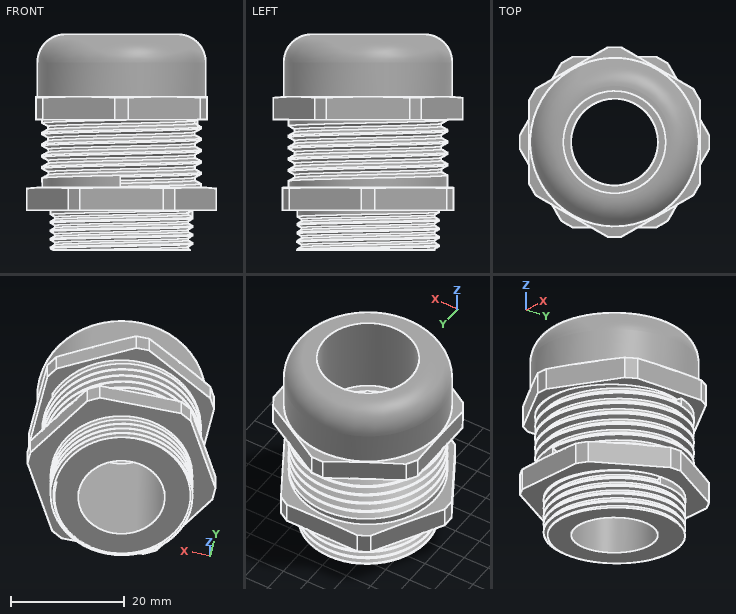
import cadquery as cq
import math

height = 38.0
hex_thickness = 4.03
lower_hex_bottom = 7.0
upper_hex_bottom = 22.95

cap_diameter = 29.7
cap_flat_diameter = 19.75
dome_radius = (cap_diameter - cap_flat_diameter) / 2
hex_flats = 30.1
hex_trimmed_corners = 33.4
hex_crown_diameter = 29.65
hex_crown_drop = 0.23

through_diameter = 15.25
cap_bore_diameter = 18.0
cap_bore_depth = height - upper_hex_bottom

body_diameter = 28.0
body_groove_rise = 10.6
body_groove_depth = 1.05
body_groove_width = 1.7
body_groove_start = 12.0
body_groove_turns = 5.3
body_pitch = body_groove_rise / body_groove_turns
body_start_angle = -91.0

entry_diameter = 25.0
entry_groove_rise = 7.5
entry_groove_depth = 0.72
entry_groove_width = 1.3
entry_groove_end = 6.4
entry_groove_turns = 5
entry_pitch = entry_groove_rise / entry_groove_turns
entry_start_angle = 0.0

root_ratio = 0.3
mouth_overrun = 0.2


def cylinder(diameter, bottom, length):
    return cq.Workplane("XY").workplane(offset=bottom).circle(diameter / 2).extrude(length)


def hexagon(bottom, corner_angle):
    """Hexagon with its corners cut flat and a shallow conical crown."""
    across_corners = hex_flats / math.cos(math.pi / 6)
    base = cq.Workplane("XY")
    blank = base.polygon(6, across_corners).extrude(hex_thickness)
    trim = (
        base.polygon(6, hex_trimmed_corners / math.cos(math.pi / 6))
        .extrude(hex_thickness)
        .rotate((0, 0, 0), (0, 0, 1), 30)
    )
    crown = (
        cq.Workplane("XZ")
        .moveTo(0, 0)
        .lineTo(across_corners / 2, 0)
        .lineTo(across_corners / 2, hex_thickness - hex_crown_drop)
        .lineTo(hex_crown_diameter / 2, hex_thickness)
        .lineTo(0, hex_thickness)
        .close()
        .revolve(360, (0, 0), (0, 1))
    )
    solid = blank.intersect(trim).intersect(crown)
    return solid.rotate((0, 0, 0), (0, 0, 1), corner_angle).translate((0, 0, bottom))


def thread_groove(diameter, pitch, depth, width, start, rise, start_angle):
    """Helical cutter whose section is centred on the start level."""
    root_radius = diameter / 2 - depth
    outer_radius = diameter / 2 + mouth_overrun
    half_root = width * root_ratio / 2
    flank_slope = (width / 2 - half_root) / depth
    half_outer = width / 2 + flank_slope * mouth_overrun
    path = cq.Wire.makeHelix(pitch, rise, root_radius)
    cutter = (
        cq.Workplane("XZ")
        .moveTo(root_radius, -half_root)
        .lineTo(outer_radius, -half_outer)
        .lineTo(outer_radius, half_outer)
        .lineTo(root_radius, half_root)
        .close()
        .sweep(cq.Workplane(obj=path), isFrenet=True)
    )
    return cutter.rotate((0, 0, 0), (0, 0, 1), start_angle).translate((0, 0, start))


entry_groove = thread_groove(
    entry_diameter,
    entry_pitch,
    entry_groove_depth,
    entry_groove_width,
    entry_groove_end - entry_groove_rise,
    entry_groove_rise,
    entry_start_angle,
)
entry = cylinder(entry_diameter, 0, lower_hex_bottom).cut(entry_groove)

body_groove = thread_groove(
    body_diameter,
    body_pitch,
    body_groove_depth,
    body_groove_width,
    body_groove_start,
    body_groove_rise,
    body_start_angle,
)
body_bottom = lower_hex_bottom + hex_thickness
body = cylinder(body_diameter, body_bottom, upper_hex_bottom - body_bottom).cut(body_groove)

cap_bottom = upper_hex_bottom + hex_thickness
cap = cylinder(cap_diameter, cap_bottom, height - cap_bottom).faces(">Z").edges().fillet(dome_radius)

result = (
    entry.union(hexagon(lower_hex_bottom, 0))
    .union(body)
    .union(hexagon(upper_hex_bottom, 30))
    .union(cap)
    .cut(cylinder(through_diameter, 0, height))
    .cut(cylinder(cap_bore_diameter, height - cap_bore_depth, cap_bore_depth))
)